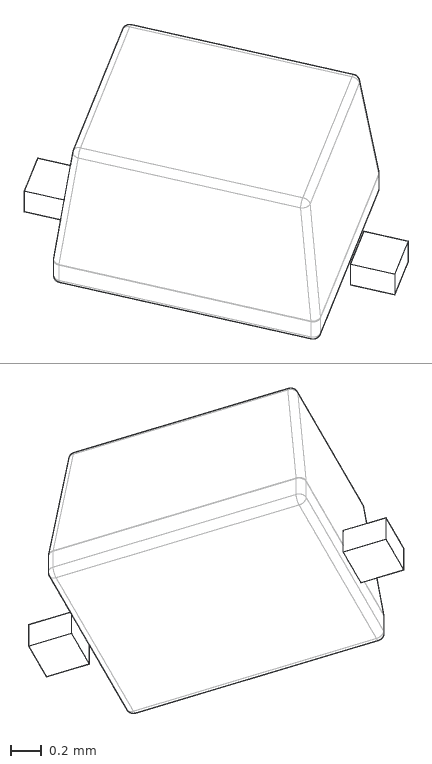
import cadquery as cq
import math

housing_length = 1.8
housing_width = 1.4
housing_height = 1.2
base_height = 0.2
taper_angle = 6.0
taper_inset = (housing_height - base_height) * math.tan(math.radians(taper_angle))
edge_radius = 0.05

terminal_length = 0.3
terminal_width = 0.3
terminal_height = base_height
overall_length = 2.5
terminal_center_x = (overall_length - terminal_length) / 2


def make_housing():
    """Straight base and tapered cap joined into one rounded solid, standing on Z = 0."""
    base = cq.Workplane("XY").box(
        housing_length, housing_width, base_height, centered=(True, True, False)
    )
    cap = (
        cq.Workplane("XY", origin=(0, 0, base_height))
        .rect(housing_length, housing_width)
        .workplane(offset=housing_height - base_height)
        .rect(housing_length - 2 * taper_inset, housing_width - 2 * taper_inset)
        .loft(ruled=True, combine=True)
    )
    return base.union(cap).edges().fillet(edge_radius).solids()


def make_terminal(center_x):
    """Terminal block standing on Z = 0, centred at the given X."""
    return (
        cq.Workplane("XY", origin=(center_x, 0, 0))
        .box(terminal_length, terminal_width, terminal_height, centered=(True, True, False))
    )


housing = make_housing()
terminals = [make_terminal(side * terminal_center_x) for side in (-1, 1)]

result = cq.Compound.makeCompound(
    [housing.val(), *[terminal.val() for terminal in terminals]]
)